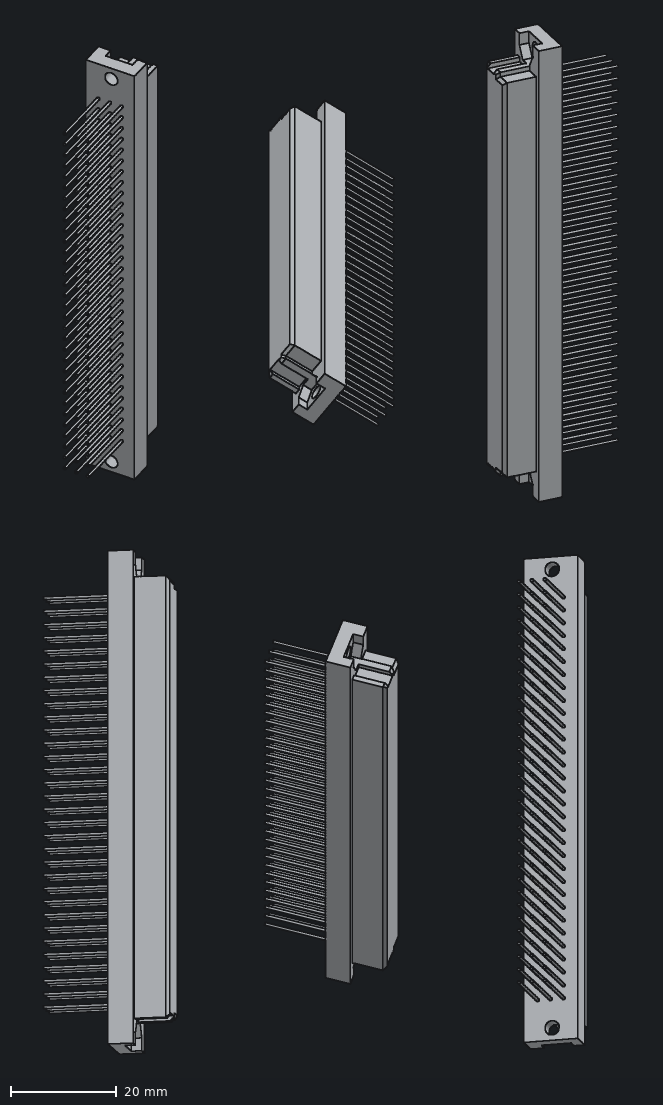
import cadquery as cq
import math

LENGTH = 95.0
TOTAL_DEPTH = 24.6

FLANGE_WIDTH = 10.6
FLANGE_THICKNESS = 4.9

PIN_DIAMETER = 0.6
PIN_LENGTH = 12.9
PIN_ROOT = 0.5
PIN_ROWS = 32
PIN_COLUMNS = 3
PIN_FIELD_LENGTH = 78.8
PIN_PITCH = PIN_FIELD_LENGTH / (PIN_ROWS - 1)

HOLE_DIAMETER = 2.8
HOLE_END_DISTANCE = 2.5
HOLE_X = 0.3
HOLE_Z = LENGTH / 2 - HOLE_END_DISTANCE
NUT_ACROSS_FLATS = 5.0
NUT_ACROSS_CORNERS = NUT_ACROSS_FLATS / math.cos(math.pi / 6)
POCKET_DEPTH = 2.0

PLUG_WIDTH = 8.3
PLUG_DEPTH = TOTAL_DEPTH - PIN_LENGTH - FLANGE_THICKNESS
PLUG_HALF_LENGTH = HOLE_Z - NUT_ACROSS_FLATS / 2
PLUG_CHAMFER = 0.7

RECESS_DEPTH = 0.95
RECESS_Z = PLUG_HALF_LENGTH - RECESS_DEPTH
STEP_EDGE_X = -1.2
NOTCH_START_X = 0.2
NOTCH_END_X = 3.0


def sketch_at(y):
    """XZ workplane at the given Y; its normal is -Y, so negative extrusions go towards +Y."""
    return cq.Workplane("XZ", origin=(0, y, 0))


def box_between(x_range, y_range, z_range):
    """Box spanning the given (start, end) range along each axis."""
    ranges = (x_range, y_range, z_range)
    sizes = [end - start for start, end in ranges]
    corner = tuple(start for start, end in ranges)
    return cq.Workplane("XY").box(*sizes, centered=False).translate(corner)


def cut_both_ends(body, upper_cut):
    """Cut a +Z end feature and its mirror image at the -Z end."""
    return body.cut(upper_cut).cut(upper_cut.mirror("XY"))


def make_flange():
    """Rectangular bar with a mounting hole and nut pocket at each end."""
    flange = sketch_at(0).rect(FLANGE_WIDTH, LENGTH).extrude(-FLANGE_THICKNESS)
    return cut_both_ends(flange, make_mount_cut())


def make_mount_cut():
    """Through hole plus nut pocket at the +Z end."""
    floor_y = FLANGE_THICKNESS - POCKET_DEPTH
    half_width = NUT_ACROSS_CORNERS / 2
    hole = sketch_at(0).center(HOLE_X, HOLE_Z).circle(HOLE_DIAMETER / 2).extrude(-FLANGE_THICKNESS)
    nut = sketch_at(floor_y).center(HOLE_X, HOLE_Z).polygon(6, NUT_ACROSS_CORNERS).extrude(-POCKET_DEPTH)
    end_opening = box_between(
        (HOLE_X - half_width, HOLE_X + half_width),
        (floor_y, FLANGE_THICKNESS),
        (HOLE_Z, LENGTH / 2),
    )
    return hole.union(nut).union(end_opening)


def make_plug():
    """Bar stepped back at its -X corners, chamfered around the mating face, then notched."""
    left = -PLUG_WIDTH / 2
    right = PLUG_WIDTH / 2
    outline = [
        (left, RECESS_Z),
        (STEP_EDGE_X, RECESS_Z),
        (STEP_EDGE_X, PLUG_HALF_LENGTH),
        (right, PLUG_HALF_LENGTH),
        (right, -PLUG_HALF_LENGTH),
        (STEP_EDGE_X, -PLUG_HALF_LENGTH),
        (STEP_EDGE_X, -RECESS_Z),
        (left, -RECESS_Z),
    ]
    bar = sketch_at(FLANGE_THICKNESS).polyline(outline).close().extrude(-PLUG_DEPTH)
    bar = bar.faces(">Y").edges().chamfer(PLUG_CHAMFER)
    notch = box_between(
        (NOTCH_START_X, NOTCH_END_X),
        (FLANGE_THICKNESS, FLANGE_THICKNESS + PLUG_DEPTH),
        (RECESS_Z, PLUG_HALF_LENGTH),
    )
    return cut_both_ends(bar, notch)


def make_pins():
    """Grid of round pins pointing to -Y, each rooted a little way inside the flange."""
    return (
        sketch_at(PIN_ROOT)
        .rarray(PIN_PITCH, PIN_PITCH, PIN_COLUMNS, PIN_ROWS)
        .circle(PIN_DIAMETER / 2)
        .extrude(PIN_ROOT + PIN_LENGTH)
    )


result = make_flange().union(make_plug()).union(make_pins())